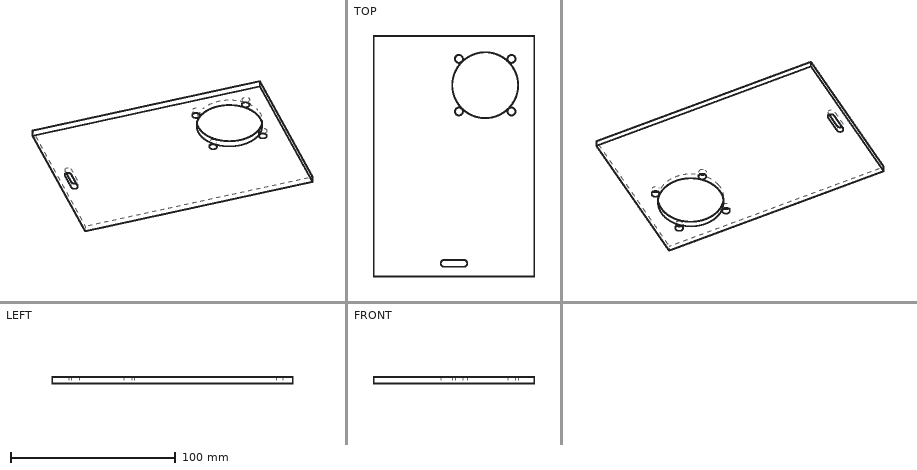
import cadquery as cq

plate_width = 98.0
plate_length = 146.5
plate_thickness = 4.2

fan_diameter = 40.0
fan_edge_distance = 30.0
fan_x = plate_width / 2 - fan_edge_distance
fan_y = plate_length / 2 - fan_edge_distance

screw_diameter = 4.7
screw_pitch = 32.0

slot_length = 16.0
slot_width = 4.0
slot_edge_distance = 8.0
slot_y = -plate_length / 2 + slot_edge_distance


def make_plate():
    """Plain plate centred in X and Y, resting on Z = 0."""
    return cq.Workplane("XY").box(
        plate_width, plate_length, plate_thickness, centered=(True, True, False)
    )


def cut_fan_opening(body):
    """Round through opening."""
    cutter = cq.Workplane("XY").center(fan_x, fan_y).circle(fan_diameter / 2).extrude(plate_thickness)
    return body.cut(cutter)


def cut_screw_holes(body):
    """Four through holes at the corners of the screw square."""
    cutter = (
        cq.Workplane("XY")
        .center(fan_x, fan_y)
        .rect(screw_pitch, screw_pitch, forConstruction=True)
        .vertices()
        .circle(screw_diameter / 2)
        .extrude(plate_thickness)
    )
    return body.cut(cutter)


def cut_slot(body):
    """Through slot with round ends, running along X."""
    cutter = cq.Workplane("XY").center(0, slot_y).slot2D(slot_length, slot_width).extrude(plate_thickness)
    return body.cut(cutter)


result = cut_slot(cut_screw_holes(cut_fan_opening(make_plate())))